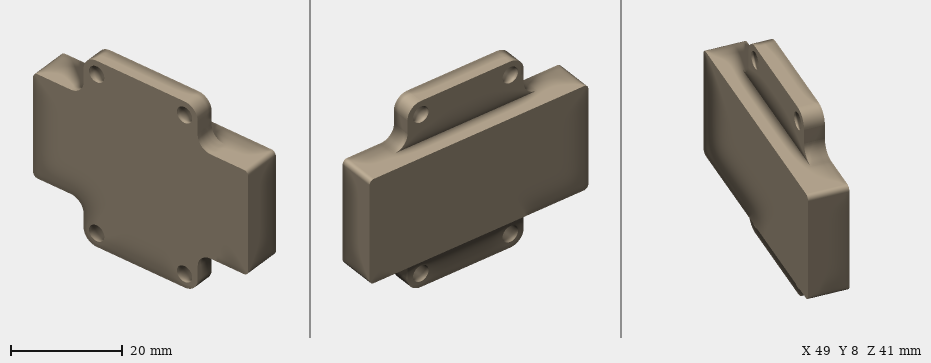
import cadquery as cq

length = 49.0
depth = 8.0
body_height = 23.0
body_corner_radius = 1.0

flange_width = 26.0
flange_height = 41.0
flange_thickness = 4.0
flange_radius = 3.0

hole_diameter = 3.5
hole_spacing_x = flange_width - 2 * flange_radius
hole_spacing_z = flange_height - 2 * flange_radius


def front_plate(width, height, thickness):
    """Centred rectangular plate reaching from Y = 0 back to Y = thickness."""
    return cq.Workplane("XZ").rect(width, height).extrude(-thickness)


def blended_flange():
    """Cross-shaped plate with rounded flange corners and inner blends."""
    flange = front_plate(flange_width, flange_height, flange_thickness)
    flange = flange.edges("|Y").fillet(flange_radius)
    arm_length = flange_width + 4 * flange_radius
    cross = flange.union(front_plate(arm_length, body_height, flange_thickness))
    half_width = flange_width / 2
    half_height = body_height / 2
    tolerance = 0.05
    for x in (-half_width, half_width):
        for z in (-half_height, half_height):
            inner_corner = cq.selectors.BoxSelector(
                (x - tolerance, -tolerance, z - tolerance),
                (x + tolerance, flange_thickness + tolerance, z + tolerance),
            )
            cross = cross.edges(inner_corner).fillet(flange_radius)
    return cross


body = front_plate(length, body_height, depth).edges("|Y").fillet(body_corner_radius)

holes = (
    cq.Workplane("XZ")
    .rect(hole_spacing_x, hole_spacing_z, forConstruction=True)
    .vertices()
    .circle(hole_diameter / 2)
    .extrude(-flange_thickness)
)

result = body.union(blended_flange()).cut(holes)